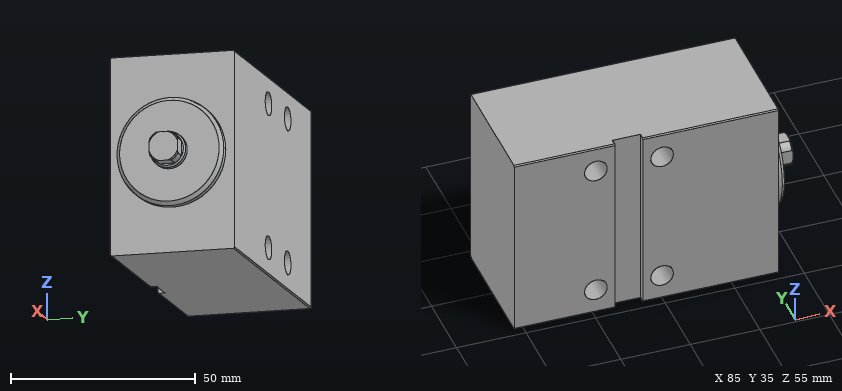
import cadquery as cq

overall_length = 85.0
block_depth = 35.0
block_height = 55.0
edge_chamfer = 0.3

cover_diameter = 30.0
cover_thickness = 3.0
cover_chamfer = 1.0

collar_diameter = 10.0
collar_length = 2.0
collar_chamfer = 0.5
stub_diameter = collar_diameter - 2 * collar_chamfer
stub_length = 4.0
stub_across_flats = 8.0
stub_chamfer = 0.3

block_length = overall_length - cover_thickness - collar_length - stub_length

slot_center_x = 33.0
slot_width = 8.0
slot_depth = 2.0
hole_diameter = 6.5
hole_pitch_x = 19.0
hole_pitch_z = 39.95


def make_block():
    """Rectangular block with chamfered long edges, a cross slot and four through holes."""
    block = (
        cq.Workplane("XY")
        .box(block_length, block_depth, block_height, centered=(False, True, True))
        .edges("|X")
        .chamfer(edge_chamfer)
    )
    front_y = -block_depth / 2
    slot = (
        cq.Workplane("XY")
        .box(slot_width, slot_depth, block_height, centered=(True, False, True))
        .translate((slot_center_x, front_y, 0))
    )
    holes = (
        cq.Workplane("XZ", origin=(slot_center_x, block_depth / 2, 0))
        .rarray(hole_pitch_x, hole_pitch_z, 2, 2)
        .circle(hole_diameter / 2)
        .extrude(block_depth)
    )
    return block.cut(slot).cut(holes)


def make_cover():
    """Round cover disc with a chamfered outer rim, seated on the block's end face."""
    return (
        cq.Workplane("YZ", origin=(block_length, 0, 0))
        .circle(cover_diameter / 2)
        .extrude(cover_thickness)
        .faces(">X")
        .chamfer(cover_chamfer)
    )


def make_shaft():
    """Chamfered collar resting on the cover, carrying a round stub cut to four flats."""
    collar_start = block_length + cover_thickness
    stub_start = collar_start + collar_length
    collar = (
        cq.Workplane("YZ", origin=(collar_start, 0, 0))
        .circle(collar_diameter / 2)
        .extrude(collar_length)
        .faces(">X")
        .chamfer(collar_chamfer)
    )
    flats = (
        cq.Workplane("YZ", origin=(stub_start, 0, 0))
        .rect(stub_across_flats, stub_across_flats)
        .extrude(stub_length)
    )
    stub = (
        cq.Workplane("YZ", origin=(stub_start, 0, 0))
        .circle(stub_diameter / 2)
        .extrude(stub_length)
        .faces(">X")
        .chamfer(stub_chamfer)
        .intersect(flats)
    )
    return collar.union(stub)


block = make_block()
cover = make_cover()
shaft = make_shaft()

result = cq.Compound.makeCompound([block.val(), cover.val(), shaft.val()])